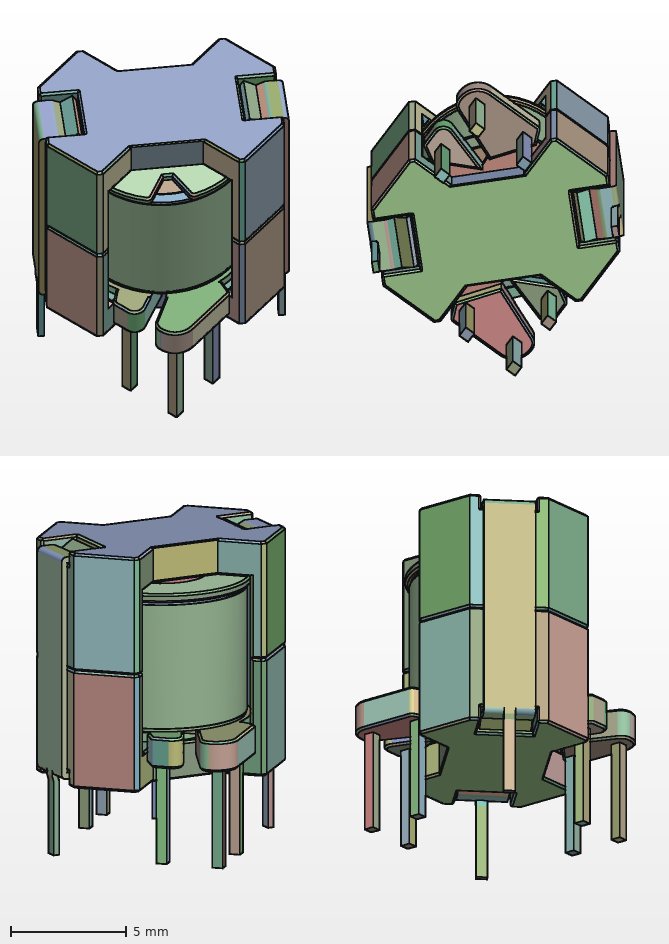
import cadquery as cq
import math


core_width = 9.8
core_bottom = 3.32
core_top = 13.82
split_z = (core_bottom + core_top) / 2
arm_edge = 0.5
end_distance = 5.2
waist_half_width = 2.28
corner_chamfer = 0.2
edge_chamfer = 0.1
waist_chamfer = 0.05
bore_diameter = 8.35
bore_height = 3.63
post_diameter = 4.0

recess_width = 2.46
recess_inner = 3.5
recess_depth = 0.64

clip_width = 2.25
clip_thickness = 0.28
clip_outer = end_distance + clip_thickness
clip_bend_radius = 0.22
clip_drop = 0.28
flat_end = 4.67
crease_radius = 0.35
valley_distance = 4.28
valley_bite = 0.11
tip_distance = 3.75
tip_drop = 0.12
tip_lean = 0.17
clip_pin_width = 0.5
clip_pin_crank = 0.07
clip_pin_crank_height = 0.23

flange_diameter = 7.85
flange_thickness = 0.4
upper_flange_top = 12.0
lower_flange_top = 5.78
upper_flange_bottom = upper_flange_top - flange_thickness
tube_diameter = 4.4
inner_winding_diameter = 6.37
inner_tape_diameter = 6.47
outer_winding_diameter = 7.41
outer_tape_diameter = 7.5
tape_margin = 0.14
notch_rim_radius = 0.22

carrier_bottom = 4.42
carrier_edge = 4.62
carrier_round = 1.0
carrier_slot_round = 0.5
carrier_small_round = 0.2
pin_side = 0.47
pin_near = 1.27
pin_far = 3 * pin_near

large_carrier_inner = (3.88, -0.68)
large_carrier_side = (carrier_edge, -1.0)
large_carrier_outer = (carrier_edge, -carrier_edge)
small_carrier_inner = (0.58, -3.88)
small_carrier_side = (1.0, -carrier_edge)

slot_small_side = [(1.62, -1.9), (2.45, -carrier_edge)]
slot_large_side = [(2.17, -1.92), (3.23, -carrier_edge)]


def disc(diameter, bottom, top):
    return cq.Workplane("XY").workplane(offset=bottom).circle(diameter / 2).extrude(top - bottom)


def both_sides(shape):
    """The shape together with its copy turned half round about Z."""
    return shape.union(shape.rotate((0, 0, 0), (0, 0, 1), 180))


def mirror_to_lower_half(shape):
    return shape.mirror("XY", (0, 0, split_z))


def core_outline():
    half = core_width / 2
    end_corner = end_distance * math.sqrt(2) - half
    waist_corner = waist_half_width * math.sqrt(2) - arm_edge
    quarter = [
        (half, end_corner),
        (half, corner_chamfer - arm_edge),
        (half - corner_chamfer, -arm_edge),
        (waist_corner, -arm_edge),
    ]
    across = [(-y, -x) for x, y in reversed(quarter)]
    one_side = quarter + across
    return one_side + [(-x, -y) for x, y in one_side]


def core_half():
    half = cq.Workplane("XY").workplane(offset=split_z).polyline(core_outline()).close()
    half = half.extrude(core_top - split_z)
    waist_edges = cq.selectors.BoxSelector(
        (-waist_half_width, -waist_half_width, 0), (waist_half_width, waist_half_width, 2 * core_top))
    other_edges = cq.selectors.InverseSelector(waist_edges)
    half = half.faces("<Z or >Z").edges(other_edges).chamfer(edge_chamfer)
    half = half.faces("<Z or >Z").edges(waist_edges).chamfer(waist_chamfer)
    ceiling = split_z + bore_height
    half = half.cut(disc(bore_diameter, split_z, ceiling))
    around_ceiling = cq.selectors.BoxSelector(
        (-core_width, -core_width, ceiling - edge_chamfer), (core_width, core_width, ceiling + edge_chamfer))
    half = half.faces(around_ceiling).edges("%LINE").chamfer(edge_chamfer)
    bore_meets_arm = math.sqrt((bore_diameter / 2) ** 2 - arm_edge ** 2)
    wedge = [
        (bore_meets_arm - corner_chamfer, -arm_edge),
        (bore_meets_arm + corner_chamfer, -arm_edge),
        (bore_meets_arm - corner_chamfer, 2 * corner_chamfer - arm_edge),
    ]
    across = [(-y, -x) for x, y in wedge]
    for triangle in (wedge, across):
        cutter = cq.Workplane("XY").workplane(offset=split_z).polyline(triangle).close()
        half = half.cut(both_sides(cutter.extrude(bore_height + edge_chamfer)))
    return half.union(disc(post_diameter, split_z, core_top - edge_chamfer))


def clip_recess():
    """Recess cutters at both core ends, flared at the end face and at the top face."""
    length = end_distance - recess_inner
    recess = cq.Workplane("XY").box(length, recess_width, recess_depth, centered=(False, True, False))
    recess = recess.translate((recess_inner, 0, core_top - recess_depth))
    top_flare = cq.Workplane("XY").workplane(offset=core_top - edge_chamfer)
    top_flare = top_flare.center(recess_inner + length, 0).rect(2 * length, recess_width)
    recess = recess.union(top_flare.extrude(edge_chamfer, taper=-45))
    end_flare = cq.Workplane("YZ").workplane(offset=end_distance - edge_chamfer)
    end_flare = end_flare.center(0, core_top).rect(recess_width, 2 * recess_depth)
    recess = recess.union(end_flare.extrude(edge_chamfer, taper=-45))
    return both_sides(recess.rotate((0, 0, 0), (0, 0, 1), 45))


def core():
    half = core_half().cut(clip_recess())
    return half.union(mirror_to_lower_half(half))


def clip_upper_half():
    """Upper half of the +X clip: upright leg, flat over the core end, and V-shaped spring end."""
    flat_top = core_top - clip_drop
    valley_top = core_top - recess_depth - valley_bite + clip_thickness
    tip_top = core_top - tip_drop
    profile = [
        (clip_outer, split_z),
        (clip_outer, flat_top),
        (flat_end, flat_top),
        (valley_distance, valley_top),
        (tip_distance, tip_top),
        (tip_distance - tip_lean, tip_top - clip_thickness),
        (valley_distance, valley_top - clip_thickness),
        (flat_end, flat_top - clip_thickness),
        (end_distance, flat_top - clip_thickness),
        (end_distance, split_z),
    ]
    half = cq.Workplane("XZ").polyline(profile).close().extrude(clip_width / 2, both=True)
    outer_bend = cq.selectors.NearestToPointSelector((clip_outer, 0, flat_top))
    half = half.edges(outer_bend).fillet(clip_bend_radius)
    crease = cq.selectors.NearestToPointSelector((flat_end, 0, flat_top))
    return half.edges("|Y").edges(crease).fillet(crease_radius)


def clip_pin():
    """Pin of the +X clip: runs down from the leg and steps inward as it passes the core's bottom."""
    outer_edge = [
        (clip_outer, split_z),
        (clip_outer, core_bottom + clip_pin_crank_height),
        (clip_outer - clip_pin_crank, core_bottom),
        (clip_outer - clip_pin_crank, 0),
    ]
    inner_edge = [(x - clip_thickness, z) for x, z in reversed(outer_edge)]
    profile = cq.Workplane("XZ").polyline(outer_edge + inner_edge).close()
    return profile.extrude(clip_pin_width / 2, both=True)


def clips():
    upper = clip_upper_half()
    clip = upper.union(mirror_to_lower_half(upper)).union(clip_pin())
    return both_sides(clip.rotate((0, 0, 0), (0, 0, 1), 45))


def upper_flange():
    """Top flange with a wire notch towards (+X, -Y), symmetric about that diagonal."""
    flange = disc(flange_diameter, upper_flange_bottom, upper_flange_top)
    side = slot_small_side
    other_side = [(-y, -x) for x, y in reversed(side)]
    notch = cq.Workplane("XY").workplane(offset=upper_flange_bottom).polyline(side + other_side).close()
    flange = flange.cut(notch.extrude(flange_thickness))
    rim = cq.selectors.BoxSelector((0, -core_width, 0), (core_width, 0, core_top))
    flange = flange.edges("|Z").edges(rim).edges(">X or <Y").fillet(notch_rim_radius)
    return flange.faces("<Z or >Z").edges().chamfer(edge_chamfer)


def lower_flange():
    bottom = lower_flange_top - flange_thickness
    slot = cq.Workplane("XY").workplane(offset=bottom)
    slot = slot.polyline(slot_small_side + slot_large_side[::-1]).close().extrude(flange_thickness)
    return disc(flange_diameter, bottom, lower_flange_top).cut(both_sides(slot))


def carrier(outline, rounded_corners):
    """Pin carrier block; rounded_corners pairs an outline point with its corner radius."""
    block = cq.Workplane("XY").workplane(offset=carrier_bottom).polyline(outline).close()
    block = block.extrude(lower_flange_top - carrier_bottom)
    for (x, y), radius in rounded_corners:
        corner = cq.selectors.NearestToPointSelector((x, y, (carrier_bottom + lower_flange_top) / 2))
        block = block.edges("|Z").edges(corner).fillet(radius)
    return block.faces("<Z or >Z").edges().chamfer(edge_chamfer)


def carriers():
    large_outline = [large_carrier_inner, large_carrier_side, large_carrier_outer]
    large = carrier(large_outline + slot_large_side[::-1], [
        (large_carrier_outer, carrier_round),
        (slot_large_side[1], carrier_slot_round),
        (large_carrier_side, carrier_small_round),
    ])
    small = carrier(slot_small_side + [small_carrier_side, small_carrier_inner], [
        (slot_small_side[1], carrier_slot_round),
        (small_carrier_side, carrier_small_round),
    ])
    return both_sides(large.union(small))


def pins():
    spots = [(pin_far, -pin_far), (pin_far, -pin_near), (pin_near, -pin_far)]
    inside_carrier = (carrier_bottom + lower_flange_top) / 2
    pegs = cq.Workplane("XY").pushPoints(spots).rect(pin_side, pin_side).extrude(inside_carrier)
    return both_sides(pegs)


def winding(diameter, tape_diameter):
    """Winding between the flanges, wrapped in a slightly shorter layer of tape."""
    wire = disc(diameter, lower_flange_top, upper_flange_bottom)
    return wire.union(disc(tape_diameter, lower_flange_top + tape_margin, upper_flange_bottom - tape_margin))


def windings():
    inner = winding(inner_winding_diameter, inner_tape_diameter)
    outer = winding(outer_winding_diameter, outer_tape_diameter)
    outer = outer.cut(disc(inner_tape_diameter, lower_flange_top, upper_flange_bottom))
    return inner.union(outer)


tube = disc(tube_diameter, lower_flange_top - flange_thickness, upper_flange_top)
bobbin = tube.union(upper_flange()).union(lower_flange()).union(windings())
bobbin = bobbin.union(carriers()).union(pins())
result = core().union(bobbin).union(clips())